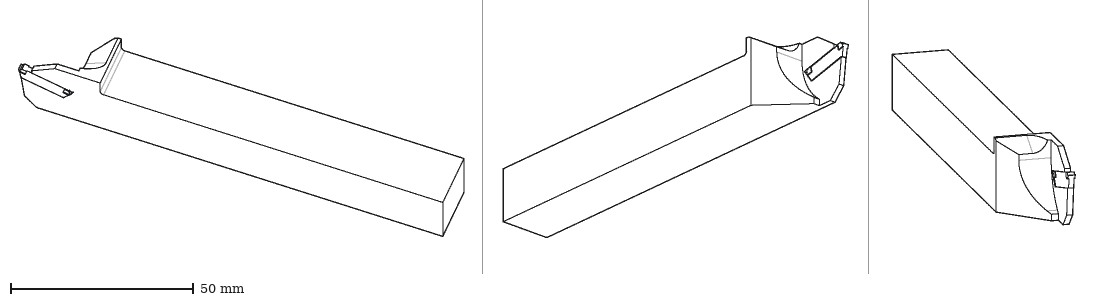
import cadquery as cq
import math

total_length = 125.0
shank_size = 16.0
head_height = 21.0
head_end = 24.0
step_radius = 1.0

blade_thickness = 1.8
nose_x = 3.8
nose_seat_z = 15.5
nose_top_z = 16.5
crown_x = 10.6
heel_x = 1.6
heel_z = 3.8
foot_x = 5.2
seat_front_x = 0.6
seat_front_z = 12.0

block_front = 9.8
bevel_start_y = 3.8
relief_back = 17.0
relief_tangent_z = 15.9
relief_radius = 17.0
relief_sweep = 51.0
ramp_top_x = 23.0
ramp_angle = 30.0
ramp_wall_y = 2.5
ramp_fillet = 4.5

insert_tilt = 14.0
insert_height = 4.4
tip_half_length = 8.0
heel_half_length = 6.5
tip_drop = 0.8
groove_half_length = 7.5
groove_drop = 0.9
crest_half_length = 7.1
side_proud = 0.2
head_depth = 1.8
head_half_start = 5.8
body_back = 1.5

tilt = math.radians(insert_tilt)
flank_lean = (tip_half_length - heel_half_length) / (insert_height - tip_drop)
insert_middle = tip_half_length + (tip_drop * math.sin(tilt) - nose_x) / math.cos(tilt)
seat_half_length = tip_half_length + tip_drop * flank_lean
flank_half = tip_half_length - (head_depth - tip_drop) * flank_lean


def prism(points, y_start, y_end):
    """Extrude a closed XZ outline between two Y positions."""
    plane = cq.Workplane("XZ", origin=(0, y_start, 0))
    return plane.polyline(points).close().extrude(y_start - y_end)


def on_insert(along, drop):
    """Point at a distance from the insert's middle and below its seat line."""
    u = insert_middle + along
    x = nose_x + u * math.cos(tilt) - drop * math.sin(tilt)
    z = nose_seat_z - u * math.sin(tilt) - drop * math.cos(tilt)
    return (x, z)


def head_outline():
    """Side shape of the whole holder, with the rounded step above the shank."""
    return (
        cq.Workplane("XZ")
        .moveTo(foot_x, 0)
        .lineTo(total_length, 0)
        .lineTo(total_length, shank_size)
        .lineTo(head_end + step_radius, shank_size)
        .radiusArc((head_end, shank_size + step_radius), step_radius)
        .lineTo(head_end, head_height)
        .lineTo(crown_x, head_height)
        .lineTo(nose_x, nose_top_z)
        .lineTo(nose_x, nose_seat_z)
        .lineTo(seat_front_x, seat_front_z)
        .lineTo(heel_x, heel_z)
        .close()
        .extrude(-shank_size)
    )


def bevel_cutter():
    """Remove the front of the block and its 45 degree rear corner."""
    bevel_run = shank_size - bevel_start_y
    return (
        cq.Workplane("XY")
        .polyline([
            (0, blade_thickness),
            (block_front, blade_thickness),
            (block_front, bevel_start_y),
            (block_front + bevel_run, shank_size),
            (0, shank_size),
        ])
        .close()
        .extrude(head_height)
    )


def relief_cutter():
    """Hollow behind the blade: upright wall, arc and tangent lower run."""
    def arc_point(angle):
        x = relief_back - relief_radius * (1 - math.cos(angle))
        z = relief_tangent_z - relief_radius * math.sin(angle)
        return (x, z)

    sweep = math.radians(relief_sweep)
    arc_end_x, arc_end_z = arc_point(sweep)
    floor_x = arc_end_x - arc_end_z / math.tan(math.pi / 2 - sweep)
    return (
        cq.Workplane("XZ", origin=(0, blade_thickness, 0))
        .moveTo(0, head_height)
        .lineTo(relief_back, head_height)
        .lineTo(relief_back, relief_tangent_z)
        .threePointArc(arc_point(sweep / 2), (arc_end_x, arc_end_z))
        .lineTo(floor_x, 0)
        .lineTo(0, 0)
        .close()
        .extrude(blade_thickness - shank_size)
    )


def ramp_cutter():
    """Sloping floor above the relief, rounded up to the wall along the blade."""
    depth = shank_size - ramp_wall_y
    return (
        cq.Workplane("XY")
        .box(ramp_top_x, depth, head_height, centered=False)
        .edges("|X and <Y and <Z")
        .fillet(ramp_fillet)
        .translate((-ramp_top_x, ramp_wall_y, 0))
        .rotate((0, 0, 0), (0, 1, 0), -ramp_angle)
        .translate((ramp_top_x, 0, head_height))
    )


def insert_pocket():
    """Slot through the blade, open at the front."""
    outline = [
        on_insert(-seat_half_length - insert_height, 0),
        on_insert(seat_half_length, 0),
        on_insert(heel_half_length, insert_height),
        on_insert(-seat_half_length - insert_height, insert_height),
    ]
    return prism(outline, 0, blade_thickness)


def make_holder():
    """Shank with the head, its relief and the insert slot."""
    holder = head_outline().cut(bevel_cutter()).cut(relief_cutter())
    return holder.cut(ramp_cutter()).cut(insert_pocket())


def insert_head(end):
    """Wide cutting head at one end: -1 is the front, 1 the rear."""
    outline = [
        (head_half_start, 0),
        (crest_half_length, 0),
        (groove_half_length, groove_drop),
        (tip_half_length, tip_drop),
        (flank_half, head_depth),
        (head_half_start, head_depth),
    ]
    points = [on_insert(end * along, drop) for along, drop in outline]
    return prism(points, -side_proud, blade_thickness)


def make_insert():
    """Double-ended cutting insert with a narrow body between wide heads."""
    outline = [
        (-head_half_start, 0),
        (head_half_start, 0),
        (head_half_start, head_depth),
        (flank_half, head_depth),
        (heel_half_length, insert_height),
        (-heel_half_length, insert_height),
        (-flank_half, head_depth),
        (-head_half_start, head_depth),
    ]
    body = prism([on_insert(along, drop) for along, drop in outline], 0, body_back)
    for end in (-1, 1):
        body = body.union(insert_head(end))
    return body


holder = make_holder()
insert = make_insert()
result = cq.Compound.makeCompound([*holder.solids().vals(), *insert.solids().vals()])